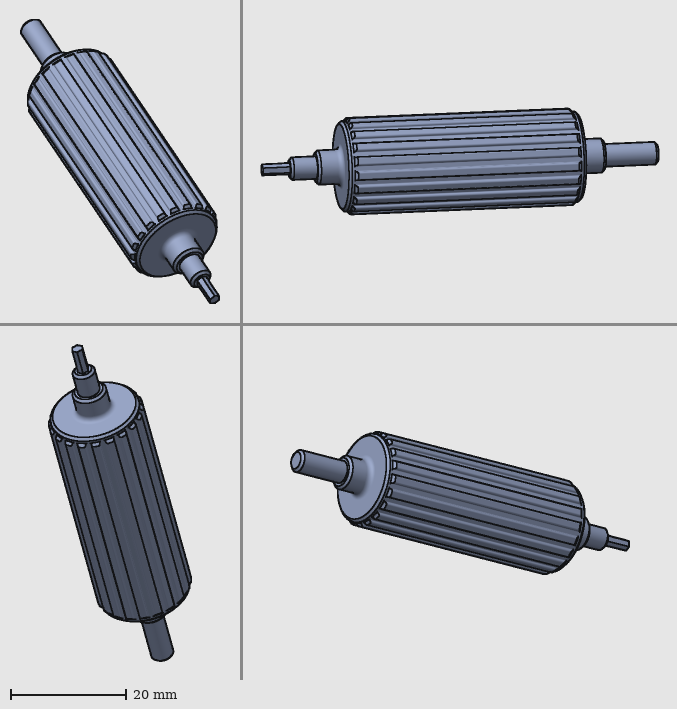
import cadquery as cq
import math

TOTAL_LENGTH = 69.8
LONG_JOURNAL_LENGTH = 9.5
COLLAR_LENGTH = 4.5
BODY_LENGTH = 42.0
SHORT_JOURNAL_LENGTH = 4.6
DRIVE_BASE_LENGTH = 1.8

JOURNAL_DIAMETER = 4.0
COLLAR_DIAMETER = 6.0
BODY_DIAMETER = 15.8

EDGE_CHAMFER = 0.5
COLLAR_FILLET = 1.0

TOOTH_COUNT = 20
TOOTH_WIDTH = 1.55
TOOTH_HEIGHT = 0.51
TOOTH_INSET = 1.0
TOP_FILLET = 0.35
FOOT_FILLET = 0.15
TOOTH_ROOT_OVERLAP = 0.7
TOOTH_TIP = BODY_DIAMETER / 2 + TOOTH_HEIGHT
TOOTH_BASE = BODY_DIAMETER / 2 - TOOTH_ROOT_OVERLAP

ARC_MIDDLE = math.sqrt(0.5)

DRIVE_CORNERS = 2.0
DRIVE_BASE_CORNERS = 2.15

collar_start = LONG_JOURNAL_LENGTH
body_start = collar_start + COLLAR_LENGTH
body_end = body_start + BODY_LENGTH
collar_end = body_end + COLLAR_LENGTH
journal_end = collar_end + SHORT_JOURNAL_LENGTH
drive_base_end = journal_end + DRIVE_BASE_LENGTH


def revolved_core():
    """Stepped round core: journals, collars and plain body."""
    journal = JOURNAL_DIAMETER / 2
    collar = COLLAR_DIAMETER / 2
    body = BODY_DIAMETER / 2
    c = EDGE_CHAMFER
    r = COLLAR_FILLET
    bulge = r * (1 - ARC_MIDDLE)
    outline = (
        cq.Workplane("XY")
        .moveTo(0, 0)
        .lineTo(0, journal - c)
        .lineTo(c, journal)
        .lineTo(collar_start, journal)
        .lineTo(collar_start, collar - c)
        .lineTo(collar_start + c, collar)
        .lineTo(body_start - r, collar)
        .threePointArc((body_start - bulge, collar + bulge), (body_start, collar + r))
        .lineTo(body_start, body - c)
        .lineTo(body_start + c, body)
        .lineTo(body_end - c, body)
        .lineTo(body_end, body - c)
        .lineTo(body_end, collar + r)
        .threePointArc((body_end + bulge, collar + bulge), (body_end + r, collar))
        .lineTo(collar_end - c, collar)
        .lineTo(collar_end, collar - c)
        .lineTo(collar_end, journal)
        .lineTo(journal_end - c, journal)
        .lineTo(journal_end, journal - c)
        .lineTo(journal_end, 0)
        .close()
    )
    return outline.revolve(360, (0, 0, 0), (1, 0, 0))


def tooth_section(start, length):
    """Bar with the tooth's cross-section: rounded top corners, feet blended into the body."""
    body = BODY_DIAMETER / 2
    half_width = TOOTH_WIDTH / 2
    flat = half_width - TOP_FILLET
    shoulder = TOOTH_TIP - TOP_FILLET
    top_bulge = TOP_FILLET * ARC_MIDDLE

    foot_y = half_width + FOOT_FILLET
    foot_z = math.sqrt((body + FOOT_FILLET) ** 2 - foot_y ** 2)
    touch_y = foot_y * body / (body + FOOT_FILLET)
    touch_z = foot_z * body / (body + FOOT_FILLET)
    foot_angle = math.atan2(foot_z, foot_y) / 2
    foot_mid_y = foot_y - FOOT_FILLET * math.cos(foot_angle)
    foot_mid_z = foot_z - FOOT_FILLET * math.sin(foot_angle)

    return (
        cq.Workplane("YZ", origin=(start, 0, 0))
        .moveTo(-touch_y, TOOTH_BASE)
        .lineTo(-touch_y, touch_z)
        .threePointArc((-foot_mid_y, foot_mid_z), (-half_width, foot_z))
        .lineTo(-half_width, shoulder)
        .threePointArc((-flat - top_bulge, shoulder + top_bulge), (-flat, TOOTH_TIP))
        .lineTo(flat, TOOTH_TIP)
        .threePointArc((flat + top_bulge, shoulder + top_bulge), (half_width, shoulder))
        .lineTo(half_width, foot_z)
        .threePointArc((foot_mid_y, foot_mid_z), (touch_y, touch_z))
        .lineTo(touch_y, TOOTH_BASE)
        .close()
        .extrude(length)
    )


def tooth():
    """Straight tooth on the +Z side, with both ends sloping at 45 degrees."""
    start = body_start + TOOTH_INSET
    end = body_end - TOOTH_INSET
    side_outline = (
        cq.Workplane("XZ")
        .moveTo(start, TOOTH_BASE)
        .lineTo(start, BODY_DIAMETER / 2)
        .lineTo(start + TOOTH_HEIGHT, TOOTH_TIP)
        .lineTo(end - TOOTH_HEIGHT, TOOTH_TIP)
        .lineTo(end, BODY_DIAMETER / 2)
        .lineTo(end, TOOTH_BASE)
        .close()
        .extrude(TOOTH_WIDTH, both=True)
    )
    return tooth_section(start, end - start).intersect(side_outline)


def hexagon(x, corners):
    """Hexagon across the X axis at station x, with corners toward +Z and -Z."""
    return cq.Workplane("YZ", origin=(x, 0, 0)).transformed(rotate=(0, 0, 90)).polygon(6, corners)


def drive_tip():
    """Hexagonal tip with a slightly tapered base."""
    base = (
        hexagon(journal_end, DRIVE_BASE_CORNERS)
        .workplane(offset=DRIVE_BASE_LENGTH)
        .polygon(6, DRIVE_CORNERS)
        .loft(ruled=True)
    )
    return base.union(hexagon(drive_base_end, DRIVE_CORNERS).extrude(TOTAL_LENGTH - drive_base_end))


result = revolved_core().union(drive_tip())
single_tooth = tooth()
for index in range(TOOTH_COUNT):
    turn = index * 360 / TOOTH_COUNT
    result = result.union(single_tooth.rotate((0, 0, 0), (1, 0, 0), turn))